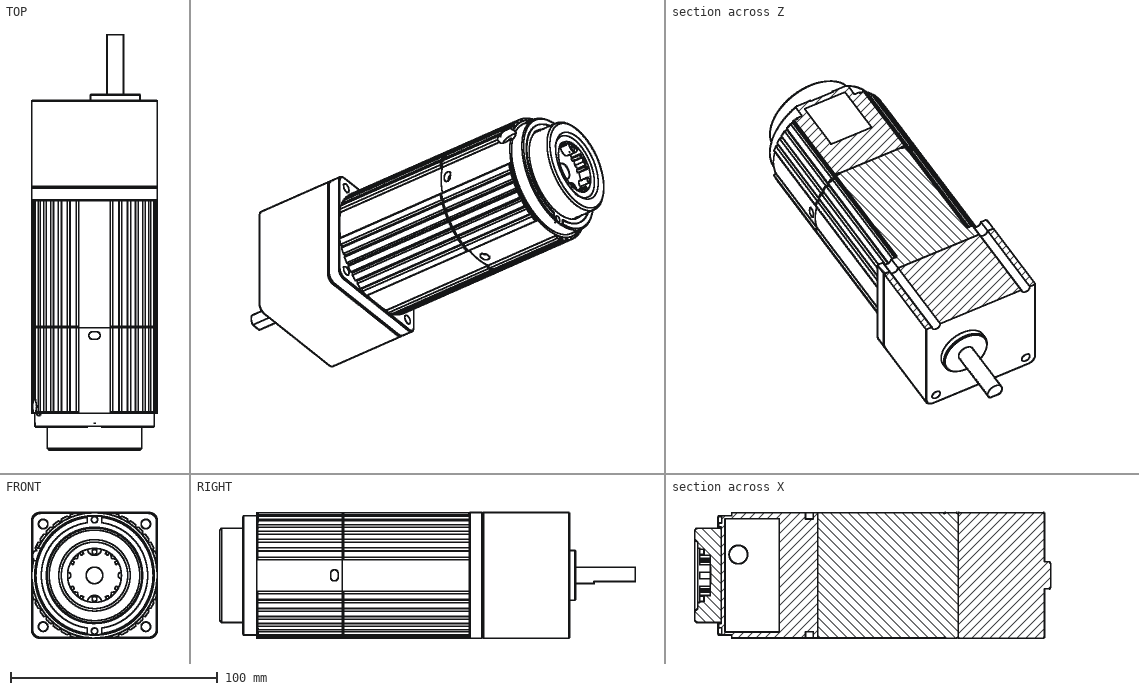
import cadquery as cq
import math


SQUARE = 61.0
CORNER_RADIUS = 4.2
EDGE_CHAMFER = 0.5
GEARBOX_LENGTH = 42.0
BOSS_RADIUS = 12.0
BOSS_LENGTH = 3.0
SHAFT_OFFSET = 10.0
SHAFT_RADIUS = 4.0
SHAFT_LENGTH = 31.8
FLAT_LENGTH = 19.9
FLAT_DEPTH = 1.0
SCREW_HOLE_RADIUS = 2.2
SCREW_HOLE_SPACING = 49.6

FLANGE_LENGTH = 6.6
MOTOR_LENGTH = 68.0
TAIL_LENGTH = 41.5
BARREL_RADIUS = 30.4
RIB_RADIUS = 31.5
RIB_TOP_WIDTH = 3.0
RIB_PITCH = 8.7
RIBS_PER_CORNER = 7
RIB_SETBACK = 0.6
SLOT_LENGTH = 5.5
SLOT_WIDTH = 3.6
SLOT_DEPTH = 3.0
SLOT_SETBACK = 3.8
CABLE_HOLE_RADIUS = 4.5
CABLE_HOLE_Z = 10.0
CABLE_HOLE_SETBACK = 3.2
CAVITY_RADIUS = 27.3
CAVITY_LENGTH = 26.1
CAP_WALL = 3.6

CAP_RADIUS = 29.0
CAP_LENGTH = 6.8
CAP_CHAMFER = 0.6
CAP_STEP_RADIUS = 25.7
CAP_STEP_DEPTH = 0.5
NOTCH_WIDTH = 7.2
PIN_HOLE_RADIUS = 1.5
PIN_HOLE_DEPTH = 1.6
PIN_HOLE_Z = 27.0
KNOB_SEAT_RADIUS = 23.3
KNOB_SEAT_DEPTH = 1.6

KNOB_RADIUS = 23.0
KNOB_REACH = 11.0
KNOB_CHAMFER = 1.0
DISH_RADIUS = 17.3
DISH_FLOOR_RADIUS = 16.0
DISH_DEPTH = 1.5
POCKET_RADIUS = 13.0
POCKET_DEPTH = 6.0
POCKET_RIB_HEIGHT = 5.0
CENTRE_RADIUS = 4.0
CENTRE_DEPTH = 0.2
SCREW_POST_RADIUS = 3.5
SCREW_POST_HOLE_RADIUS = 1.2
SCREW_POST_HOLE_DEPTH = 2.0
SIDE_POST_RADIUS = 1.6
RIB_TIP_RADIUS = 11.7
WEDGE_WIDTH = 4.5
THIN_RIB_WIDTH = 1.5
THIN_RIB_ANGLE = 15

DIAGONALS = (45, 135, 225, 315)

FLANGE_FRONT = -GEARBOX_LENGTH
FLANGE_BACK = FLANGE_FRONT - FLANGE_LENGTH
TAIL_FRONT = FLANGE_FRONT - MOTOR_LENGTH
TAIL_BACK = TAIL_FRONT - TAIL_LENGTH
CAP_FACE = TAIL_BACK - CAP_LENGTH
KNOB_FACE = CAP_FACE - KNOB_REACH
DISH_FLOOR = KNOB_FACE + DISH_DEPTH
POCKET_FLOOR = DISH_FLOOR + POCKET_DEPTH


def plane_at(y):
    """XZ sketch plane at height y; extrusion runs toward -Y."""
    return cq.Workplane("XZ", origin=(0, y, 0))


def rod(radius, y_front, length, x=0, z=0):
    """Cylinder along Y that runs from y_front toward -Y."""
    return plane_at(y_front).center(x, z).circle(radius).extrude(length)


def square_block(y_front, length):
    """Square block with rounded corners, bevelled ends and four screw holes."""
    block = plane_at(y_front).rect(SQUARE, SQUARE).extrude(length)
    block = block.edges("|Y").fillet(CORNER_RADIUS)
    block = block.faces("<Y or >Y").chamfer(EDGE_CHAMFER)
    holes = (
        plane_at(y_front)
        .rect(SCREW_HOLE_SPACING, SCREW_HOLE_SPACING, forConstruction=True)
        .vertices()
        .circle(SCREW_HOLE_RADIUS)
        .extrude(length)
    )
    return block.cut(holes)


def ribbed_barrel(y_front, length):
    """Round barrel with four smooth sides and a band of lengthwise ribs at each corner."""
    half_foot = BARREL_RADIUS * math.tan(math.radians(RIB_PITCH / 2))
    rib = (
        plane_at(y_front)
        .moveTo(0, 0)
        .lineTo(BARREL_RADIUS, half_foot)
        .lineTo(RIB_RADIUS, RIB_TOP_WIDTH / 2)
        .lineTo(RIB_RADIUS, -RIB_TOP_WIDTH / 2)
        .lineTo(BARREL_RADIUS, -half_foot)
        .close()
        .extrude(length - RIB_SETBACK)
    )
    first_angle = -RIB_PITCH * (RIBS_PER_CORNER - 1) / 2
    barrel = rod(BARREL_RADIUS, y_front, length)
    for diagonal in DIAGONALS:
        for number in range(RIBS_PER_CORNER):
            angle = diagonal + first_angle + number * RIB_PITCH
            barrel = barrel.union(rib.rotate((0, 0, 0), (0, 1, 0), angle))
    return barrel


def make_gearbox():
    """Square gearbox with an off-centre boss and a shaft with a flat underneath."""
    boss = rod(BOSS_RADIUS, BOSS_LENGTH, BOSS_LENGTH, SHAFT_OFFSET)
    boss = boss.faces(">Y").chamfer(EDGE_CHAMFER)
    shaft = rod(SHAFT_RADIUS, SHAFT_LENGTH, SHAFT_LENGTH, SHAFT_OFFSET)
    flat = cq.Workplane("XY").box(2 * SHAFT_RADIUS, FLAT_LENGTH, FLAT_DEPTH).translate(
        (SHAFT_OFFSET, SHAFT_LENGTH - FLAT_LENGTH / 2, -SHAFT_RADIUS + FLAT_DEPTH / 2)
    )
    return square_block(0, GEARBOX_LENGTH).union(boss).union(shaft.cut(flat))


def make_motor():
    """Square flange with the front part of the ribbed barrel."""
    barrel = ribbed_barrel(FLANGE_BACK, MOTOR_LENGTH - FLANGE_LENGTH)
    return square_block(FLANGE_FRONT, FLANGE_LENGTH).union(barrel)


def make_cap():
    """Round cap with a shallow stepped face, two notches and the seat of the knob."""
    cap = rod(CAP_RADIUS, TAIL_BACK, CAP_LENGTH).faces("<Y").chamfer(CAP_CHAMFER)
    step_floor = CAP_FACE + CAP_STEP_DEPTH
    cap = cap.cut(rod(CAP_STEP_RADIUS, step_floor, CAP_STEP_DEPTH))
    notch = plane_at(step_floor).rect(NOTCH_WIDTH, 2 * CAP_RADIUS).extrude(CAP_STEP_DEPTH)
    cap = cap.cut(notch)
    for z in (PIN_HOLE_Z, -PIN_HOLE_Z):
        cap = cap.cut(rod(PIN_HOLE_RADIUS, step_floor + PIN_HOLE_DEPTH, PIN_HOLE_DEPTH, z=z))
    return cap.cut(rod(KNOB_SEAT_RADIUS, CAP_FACE + KNOB_SEAT_DEPTH, KNOB_SEAT_DEPTH))


def make_tail():
    """Rear part of the ribbed barrel with its cap, cavity, side slots and cable hole."""
    tail = ribbed_barrel(TAIL_FRONT, TAIL_LENGTH).union(make_cap())
    tail = tail.cut(rod(CAVITY_RADIUS, CAP_FACE + CAP_WALL + CAVITY_LENGTH, CAVITY_LENGTH))
    slot = (
        cq.Workplane("XY", origin=(0, TAIL_FRONT - SLOT_SETBACK, BARREL_RADIUS - SLOT_DEPTH))
        .slot2D(SLOT_LENGTH, SLOT_WIDTH)
        .extrude(2 * SLOT_DEPTH)
    )
    for angle in (0, 90, 180, 270):
        tail = tail.cut(slot.rotate((0, 0, 0), (0, 1, 0), angle))
    cable_hole = (
        cq.Workplane("YZ", origin=(-RIB_RADIUS, TAIL_BACK + CABLE_HOLE_SETBACK, CABLE_HOLE_Z))
        .circle(CABLE_HOLE_RADIUS)
        .extrude(RIB_RADIUS)
    )
    return tail.cut(cable_hole)


def make_pocket_ribs():
    """Posts, wedges and thin ribs that stand along the wall of the knob pocket."""
    ribs = cq.Workplane("XZ")
    for z in (POCKET_RADIUS, -POCKET_RADIUS):
        post = rod(SCREW_POST_RADIUS, POCKET_FLOOR, POCKET_RIB_HEIGHT, z=z)
        inset = math.copysign(SCREW_POST_RADIUS / 2, z)
        hole_floor = POCKET_FLOOR - POCKET_RIB_HEIGHT + SCREW_POST_HOLE_DEPTH
        hole = rod(SCREW_POST_HOLE_RADIUS, hole_floor, SCREW_POST_HOLE_DEPTH, z=z - inset)
        ribs = ribs.add(post.cut(hole))
    for x in (POCKET_RADIUS, -POCKET_RADIUS):
        ribs = ribs.add(rod(SIDE_POST_RADIUS, POCKET_FLOOR, POCKET_RIB_HEIGHT, x))
    wedge = (
        plane_at(POCKET_FLOOR)
        .moveTo(RIB_TIP_RADIUS, 0)
        .lineTo(POCKET_RADIUS, WEDGE_WIDTH / 2)
        .lineTo(POCKET_RADIUS, -WEDGE_WIDTH / 2)
        .close()
        .extrude(POCKET_RIB_HEIGHT)
    )
    thin_rib = (
        plane_at(POCKET_FLOOR)
        .pushPoints([((RIB_TIP_RADIUS + POCKET_RADIUS) / 2, 0)])
        .rect(POCKET_RADIUS - RIB_TIP_RADIUS, THIN_RIB_WIDTH)
        .extrude(POCKET_RIB_HEIGHT)
    )
    for diagonal in DIAGONALS:
        ribs = ribs.add(wedge.rotate((0, 0, 0), (0, 1, 0), diagonal))
        for side in (THIN_RIB_ANGLE, -THIN_RIB_ANGLE):
            ribs = ribs.add(thin_rib.rotate((0, 0, 0), (0, 1, 0), diagonal + side))
    return ribs


def make_knob():
    """Knob with a conical dish and a ribbed pocket in its face."""
    seat_floor = CAP_FACE + KNOB_SEAT_DEPTH
    knob = rod(KNOB_RADIUS, seat_floor, seat_floor - KNOB_FACE)
    knob = knob.faces("<Y").chamfer(KNOB_CHAMFER)
    dish = (
        plane_at(DISH_FLOOR)
        .circle(DISH_FLOOR_RADIUS)
        .workplane(offset=DISH_DEPTH)
        .circle(DISH_RADIUS)
        .loft()
    )
    pocket = rod(POCKET_RADIUS, POCKET_FLOOR, POCKET_DEPTH)
    for rib in make_pocket_ribs().vals():
        pocket = pocket.cut(cq.Workplane(rib))
    centre = rod(CENTRE_RADIUS, POCKET_FLOOR + CENTRE_DEPTH, CENTRE_DEPTH)
    return knob.cut(dish).cut(pocket).cut(centre)


gearbox = make_gearbox()
motor = make_motor()
tail = make_tail()
knob = make_knob()

result = cq.Compound.makeCompound([gearbox.val(), motor.val(), tail.val(), knob.val()])